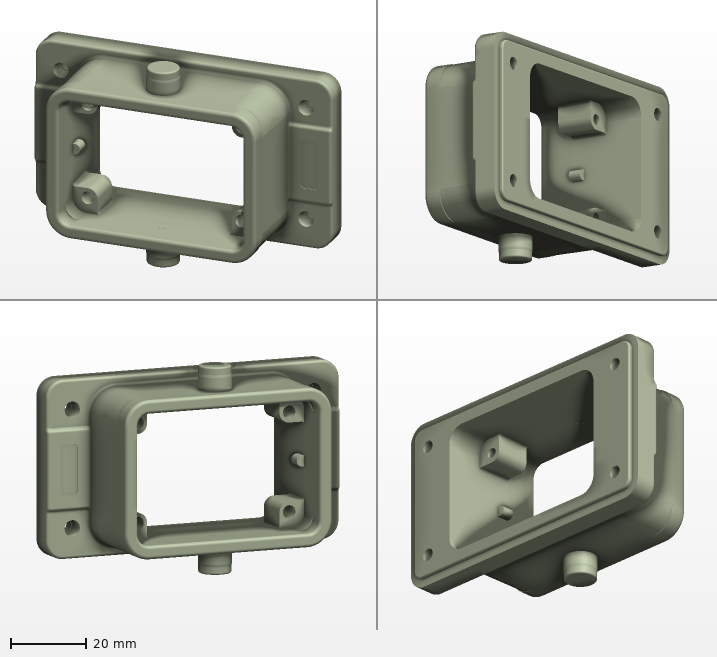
import math

import cadquery as cq


FLANGE_WIDTH = 85.0
FLANGE_HEIGHT = 48.4
FLANGE_CORNER = 5.0
FLANGE_DEPTH = 6.6
RIM_FILLET = 0.8

PAD_RISE = 0.8
PAD_STEP_MIDDLE = 10.85
PAD_STEP_WIDTH = 1.5

LABEL_X = 36.25
LABEL_WIDTH = 4.7
LABEL_HEIGHT = 13.7
LABEL_CORNER = 0.8
LABEL_RECESS = 0.2

MOUNT_SPACING_X = 70.0
MOUNT_SPACING_Z = 32.0
MOUNT_FRONT_DIAMETER = 4.4
MOUNT_REAR_DIAMETER = 3.5

HOOD_WIDTH = 60.1
HOOD_HEIGHT = 43.0
HOOD_DEPTH = 30.5
LIP_LENGTH = 5.0
LIP_CORNER = 7.0
HOOD_CORNER = 7.7
HOOD_DRAFT = 0.5
HOOD_ROOT_FILLET = 0.8
WALL = 3.7
CAVITY_DRAFT = 1.7
WALL_OVERLAP = 0.5
MOUTH_OUTER_FILLET = 1.0
MOUTH_INNER_FILLET = 0.95

BOSS_SPACING_X = 44.0
BOSS_SPACING_Z = 26.9
BOSS_SETBACK = 10.4
BOSS_LENGTH = 10.3
BOSS_RADIUS = 2.8
BOSS_FOOT_FILLET = 0.75
SCREW_FRONT_DIAMETER = 3.6
SCREW_REAR_DIAMETER = 2.9

KEY_RADIUS = 1.5
KEY_RISE = 2.15
KEY_LENGTH = 3.6

PIN_DIAMETER = 9.1
PIN_LIP_OFFSET = 4.4
PIN_HEAD_DIAMETER = 8.85
PIN_TIP_Z = 28.0
PIN_HEAD_START_Z = 25.9
PIN_STEP_START_Z = 25.2
PIN_TIP_FILLET = 0.5
PIN_SHANK_DIAMETER = 3.0
PIN_SHANK_PROUD = 0.05

GASKET_INSET = 2.25
GASKET_PROUD = 1.15
GASKET_RECESS = 2.05
GASKET_EDGE_FILLET = 0.45

SELECT_MARGIN = 0.5

CAVITY_WIDTH = HOOD_WIDTH - 2 * WALL
CAVITY_HEIGHT = HOOD_HEIGHT - 2 * WALL
CAVITY_CORNER = HOOD_CORNER - WALL
LIP_CAVITY_CORNER = LIP_CORNER - WALL
LIP_DEPTH = HOOD_DEPTH - LIP_LENGTH
BOSS_FRONT_DEPTH = HOOD_DEPTH - BOSS_SETBACK
BOSS_REAR_DEPTH = BOSS_FRONT_DEPTH - BOSS_LENGTH
BOSS_MIDDLE_Y = -(BOSS_FRONT_DEPTH + BOSS_REAR_DEPTH) / 2
BOSS_INNER_X = BOSS_SPACING_X / 2 - BOSS_RADIUS
BOSS_INNER_Z = BOSS_SPACING_Z / 2 - BOSS_RADIUS
PAD_DEPTH = FLANGE_DEPTH + PAD_RISE
PIN_DEPTH = LIP_DEPTH - PIN_LIP_OFFSET


def plane_at(depth):
    """Workplane facing the front, with local x = X and local y = Z."""
    return cq.Workplane("XZ").workplane(offset=depth)


def rounded_block(width, height, corner, rear_depth, front_depth):
    block = plane_at(rear_depth).rect(width, height).extrude(front_depth - rear_depth)
    return block.edges("|Y").fillet(corner)


def tapered_pegs(spacing_x, spacing_z, rear_depth, rear_diameter, front_depth, front_diameter):
    """Four cones in a rectangular pattern, used to cut tapered holes."""
    length = front_depth - rear_depth
    taper = -math.degrees(math.atan((front_diameter - rear_diameter) / 2 / length))
    pattern = plane_at(rear_depth).rect(spacing_x, spacing_z, forConstruction=True).vertices()
    return pattern.circle(rear_diameter / 2).extrude(length, taper=taper)


def make_flange():
    """Rounded plate with a raised band across the middle, its front rim rounded."""
    step_start = PAD_STEP_MIDDLE + PAD_STEP_WIDTH / 2
    step_end = PAD_STEP_MIDDLE - PAD_STEP_WIDTH / 2
    middle_depth = FLANGE_DEPTH + PAD_RISE / 2
    half_height = FLANGE_HEIGHT / 2
    profile = (
        cq.Workplane("YZ", origin=(-FLANGE_WIDTH / 2, 0, 0))
        .moveTo(0, -half_height)
        .lineTo(-FLANGE_DEPTH, -half_height)
        .lineTo(-FLANGE_DEPTH, -step_start)
        .tangentArcPoint((-middle_depth, -PAD_STEP_MIDDLE), relative=False)
        .tangentArcPoint((-PAD_DEPTH, -step_end), relative=False)
        .lineTo(-PAD_DEPTH, step_end)
        .tangentArcPoint((-middle_depth, PAD_STEP_MIDDLE), relative=False)
        .tangentArcPoint((-FLANGE_DEPTH, step_start), relative=False)
        .lineTo(-FLANGE_DEPTH, half_height)
        .lineTo(0, half_height)
        .close()
    )
    flange = profile.extrude(FLANGE_WIDTH)
    outline = rounded_block(FLANGE_WIDTH, FLANGE_HEIGHT, FLANGE_CORNER, 0, PAD_DEPTH)
    flange = flange.intersect(outline)
    rim = flange.faces("<X").edges("<Y")
    return rim.fillet(RIM_FILLET)


def make_hood():
    """Drafted shell with a straight lip at its mouth; reaches back to the flange rear."""
    growth = 2 * LIP_DEPTH * math.tan(math.radians(HOOD_DRAFT))
    body = (
        plane_at(0)
        .sketch()
        .rect(HOOD_WIDTH + growth, HOOD_HEIGHT + growth)
        .vertices()
        .fillet(HOOD_CORNER + growth / 2)
        .finalize()
        .extrude(LIP_DEPTH, taper=HOOD_DRAFT)
    )
    lip = rounded_block(HOOD_WIDTH, HOOD_HEIGHT, LIP_CORNER, LIP_DEPTH, HOOD_DEPTH)
    lip = lip.faces("<Y").edges().fillet(MOUTH_OUTER_FILLET)
    return body.union(lip)


def edges_within(width, height, rear_depth, front_depth):
    """Selector for edges centred inside a box about the Y axis."""
    return cq.selectors.BoxSelector(
        (-width / 2, -rear_depth, -height / 2),
        (width / 2, -front_depth, height / 2),
    )


def round_hood_root(housing):
    """Fillet the corner where the hood rises from the flange front and pads."""
    root = edges_within(
        HOOD_WIDTH + 2 * SELECT_MARGIN,
        HOOD_HEIGHT + 2 * SELECT_MARGIN,
        FLANGE_DEPTH - SELECT_MARGIN,
        PAD_DEPTH + SELECT_MARGIN,
    )
    return housing.edges(root).fillet(HOOD_ROOT_FILLET)


def round_mouth_inside(housing):
    """Fillet the inner edge of the hood mouth."""
    mouth = edges_within(
        CAVITY_WIDTH + SELECT_MARGIN,
        CAVITY_HEIGHT + SELECT_MARGIN,
        HOOD_DEPTH - SELECT_MARGIN,
        HOOD_DEPTH + SELECT_MARGIN,
    )
    return housing.edges(mouth).fillet(MOUTH_INNER_FILLET)


def drafted_opening():
    """Rear of the cavity, widening from the boss fronts back through the gasket."""
    return (
        cq.Workplane("XZ", origin=(0, -BOSS_FRONT_DEPTH, 0))
        .sketch()
        .rect(CAVITY_WIDTH, CAVITY_HEIGHT)
        .vertices()
        .fillet(CAVITY_CORNER)
        .finalize()
        .extrude(-BOSS_FRONT_DEPTH - GASKET_PROUD, taper=-CAVITY_DRAFT)
    )


def make_cavity():
    throat = rounded_block(CAVITY_WIDTH, CAVITY_HEIGHT, CAVITY_CORNER, BOSS_FRONT_DEPTH, LIP_DEPTH)
    mouth = rounded_block(CAVITY_WIDTH, CAVITY_HEIGHT, LIP_CAVITY_CORNER, LIP_DEPTH, HOOD_DEPTH)
    return drafted_opening().union(throat).union(mouth)


def make_boss(side_x, side_z):
    """Block filling a cavity corner, with a rounded free corner."""
    width = CAVITY_WIDTH / 2 + WALL_OVERLAP - BOSS_INNER_X
    height = CAVITY_HEIGHT / 2 + WALL_OVERLAP - BOSS_INNER_Z
    boss = (
        plane_at(BOSS_REAR_DEPTH)
        .center(side_x * (BOSS_INNER_X + width / 2), side_z * (BOSS_INNER_Z + height / 2))
        .rect(width, height)
        .extrude(BOSS_LENGTH)
    )
    free_corner = cq.selectors.NearestToPointSelector(
        (side_x * BOSS_INNER_X, BOSS_MIDDLE_Y, side_z * BOSS_INNER_Z)
    )
    return boss.edges(free_corner).fillet(BOSS_RADIUS)


def flare_boss_feet(housing, side_x, side_z):
    """Fillet the two long corners where a boss meets the cavity walls."""
    side_foot = (side_x * CAVITY_WIDTH / 2, BOSS_MIDDLE_Y, side_z * BOSS_INNER_Z)
    floor_foot = (side_x * BOSS_INNER_X, BOSS_MIDDLE_Y, side_z * CAVITY_HEIGHT / 2)
    for foot in (side_foot, floor_foot):
        corner = cq.selectors.NearestToPointSelector(foot)
        housing = housing.edges(corner).fillet(BOSS_FOOT_FILLET)
    return housing


def make_key(side):
    """Short round-nosed rib on an end wall."""
    nose_x = CAVITY_WIDTH / 2 - KEY_RISE + KEY_RADIUS
    root_x = CAVITY_WIDTH / 2 + WALL_OVERLAP
    start = plane_at(BOSS_FRONT_DEPTH - KEY_LENGTH)
    nose = start.center(side * nose_x, 0).circle(KEY_RADIUS).extrude(KEY_LENGTH)
    root = (
        start.center(side * (nose_x + root_x) / 2, 0)
        .rect(root_x - nose_x, 2 * KEY_RADIUS)
        .extrude(KEY_LENGTH)
    )
    return nose.union(root)


def make_pin(side):
    """Locking pin with a slightly slimmer head; its shank ends just inside the cavity."""
    radius = PIN_DIAMETER / 2
    head_radius = PIN_HEAD_DIAMETER / 2
    shank_radius = PIN_SHANK_DIAMETER / 2
    root_z = CAVITY_HEIGHT / 2 + WALL / 2
    shank_end_z = CAVITY_HEIGHT / 2 - PIN_SHANK_PROUD
    pin = (
        cq.Workplane("XZ", origin=(0, -PIN_DEPTH, 0))
        .moveTo(0, shank_end_z)
        .lineTo(shank_radius, shank_end_z)
        .lineTo(shank_radius, root_z)
        .lineTo(radius, root_z)
        .lineTo(radius, PIN_STEP_START_Z)
        .lineTo(head_radius, PIN_HEAD_START_Z)
        .lineTo(head_radius, PIN_TIP_Z)
        .lineTo(0, PIN_TIP_Z)
        .close()
        .revolve(360, (0, 0, 0), (0, 1, 0))
    )
    pin = pin.faces(">Z").edges().fillet(PIN_TIP_FILLET)
    return pin if side > 0 else pin.mirror("XY")


def gasket_outline(rear_depth, front_depth):
    return rounded_block(
        FLANGE_WIDTH - 2 * GASKET_INSET,
        FLANGE_HEIGHT - 2 * GASKET_INSET,
        FLANGE_CORNER - GASKET_INSET,
        rear_depth,
        front_depth,
    )


def make_label_recess(side):
    panel = rounded_block(LABEL_WIDTH, LABEL_HEIGHT, LABEL_CORNER, PAD_DEPTH - LABEL_RECESS, PAD_DEPTH)
    return panel.translate((side * LABEL_X, 0, 0))


def make_housing():
    housing = round_hood_root(make_flange().union(make_hood()))
    housing = round_mouth_inside(housing.cut(make_cavity()))
    for side in (-1, 1):
        housing = housing.union(make_pin(side)).union(make_key(side))
        housing = housing.cut(make_label_recess(side))
        for side_z in (-1, 1):
            housing = flare_boss_feet(housing.union(make_boss(side, side_z)), side, side_z)
    screw_holes = tapered_pegs(
        BOSS_SPACING_X,
        BOSS_SPACING_Z,
        BOSS_REAR_DEPTH,
        SCREW_REAR_DIAMETER,
        BOSS_FRONT_DEPTH,
        SCREW_FRONT_DIAMETER,
    )
    mount_holes = tapered_pegs(
        MOUNT_SPACING_X,
        MOUNT_SPACING_Z,
        0,
        MOUNT_REAR_DIAMETER,
        FLANGE_DEPTH,
        MOUNT_FRONT_DIAMETER,
    )
    housing = housing.cut(screw_holes).cut(mount_holes)
    return housing.cut(gasket_outline(0, GASKET_RECESS))


def make_gasket():
    """Flat ring seated in the flange rear, open to the cavity and to the mounting holes."""
    thickness = GASKET_PROUD + GASKET_RECESS
    gasket = gasket_outline(-GASKET_PROUD, GASKET_RECESS)
    gasket = gasket.faces(">Y").edges().fillet(GASKET_EDGE_FILLET)
    mount_holes = (
        plane_at(-GASKET_PROUD)
        .rect(MOUNT_SPACING_X, MOUNT_SPACING_Z, forConstruction=True)
        .vertices()
        .circle(MOUNT_REAR_DIAMETER / 2)
        .extrude(thickness)
    )
    return gasket.cut(drafted_opening()).cut(mount_holes)


housing = make_housing()
gasket = make_gasket()

result = cq.Compound.makeCompound([housing.val(), gasket.val()])